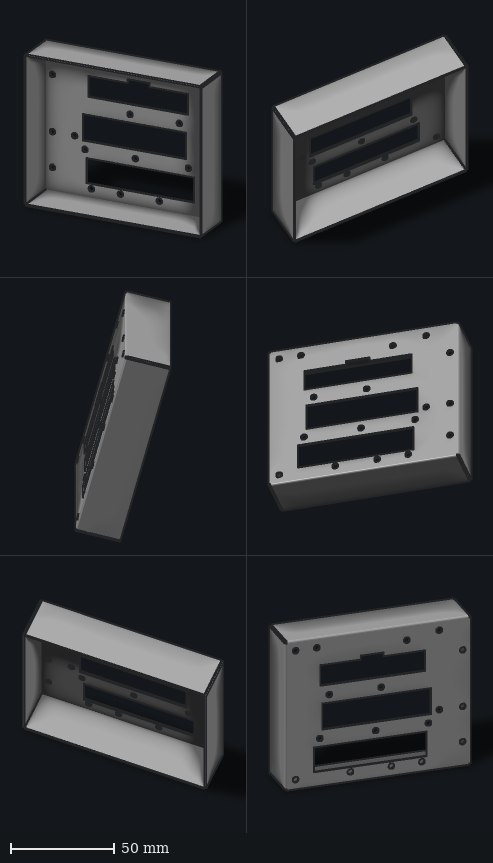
import cadquery as cq

LENGTH_X = 96.2
DEPTH_Y = 22.7
HEIGHT_Z = 79.2
SHEET = 1.0
INNER_BEND = 0.06
OUTER_BEND = SHEET + INNER_BEND

PANEL_X = LENGTH_X - 2 * OUTER_BEND
PANEL_Z = HEIGHT_Z - 2 * OUTER_BEND
BACK_Y = DEPTH_Y / 2
FRONT_Y = -DEPTH_Y / 2

HOLE_DIAMETER = 3.0

HOLE_ROWS = [
    (34.1, (-31.6, 31.6, 42.5)),
    (31.3, (-14.8,)),
    (21.9, (-43.6,)),
    (8.4, (-1.5, 25.1)),
    (-7.9, (-43.6, -31.6)),
    (-14.1, (-26.0, 1.25, 30.0)),
    (-26.55, (-43.6,)),
    (-34.1, (-22.5, -6.8, 14.2, 42.5)),
]

UPPER_WINDOW = (-24.2, 29.8, 13.7, 24.5)
MIDDLE_WINDOW = (-27.2, 28.8, -9.6, 4.1)
LOWER_WINDOW = (-25.1, 33.0, -31.6, -18.5)

NOTCH_LEFT = -3.0
NOTCH_RIGHT = 8.9
NOTCH_TOP = 26.55
UPPER_WINDOW_TOP = UPPER_WINDOW[3]
UPPER_NOTCH = (NOTCH_LEFT, NOTCH_RIGHT, UPPER_WINDOW_TOP - SHEET, NOTCH_TOP)


def folded_channel(span, fold_length):
    """U-shaped sheet: profile of the given span in XY, fold lines running along Z."""
    outer = (
        cq.Workplane("XY")
        .box(span, DEPTH_Y, fold_length)
        .edges("|Z and >Y")
        .fillet(OUTER_BEND)
    )
    inner_depth = DEPTH_Y - SHEET
    inner = (
        cq.Workplane("XY")
        .box(span - 2 * SHEET, inner_depth, fold_length)
        .edges("|Z and >Y")
        .fillet(INNER_BEND)
        .translate((0, FRONT_Y + inner_depth / 2, 0))
    )
    return outer.cut(inner)


def window_cutter(left, right, bottom, top):
    """Rectangular block that passes through the panel."""
    return (
        cq.Workplane("XY")
        .box(right - left, 2 * SHEET, top - bottom)
        .translate(((left + right) / 2, BACK_Y - SHEET / 2, (bottom + top) / 2))
    )


def hole_cutters():
    """Pins for all the round holes in the panel."""
    centers = [(x, z) for z, row in HOLE_ROWS for x in row]
    return (
        cq.Workplane("XZ", origin=(0, BACK_Y, 0))
        .pushPoints(centers)
        .circle(HOLE_DIAMETER / 2)
        .extrude(SHEET)
    )


side_walls = folded_channel(LENGTH_X, PANEL_Z)
top_and_bottom_walls = folded_channel(HEIGHT_Z, PANEL_X).rotate((0, 0, 0), (0, 1, 0), 90)

result = side_walls.union(top_and_bottom_walls)

for window in (UPPER_WINDOW, UPPER_NOTCH, MIDDLE_WINDOW, LOWER_WINDOW):
    result = result.cut(window_cutter(*window))
result = result.cut(hole_cutters())